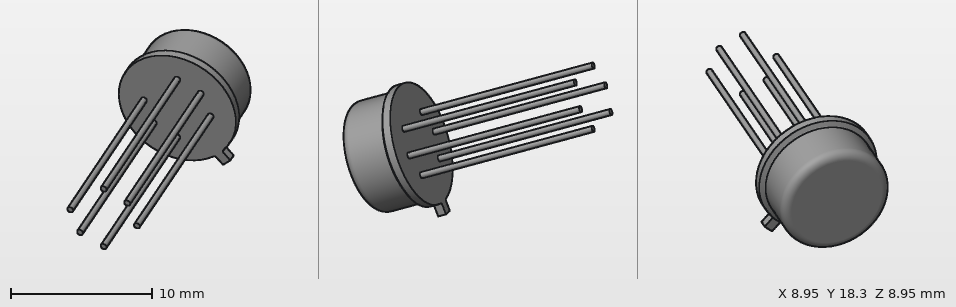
import cadquery as cq
import math

total_length = 18.29
can_height = 4.3
lead_length = total_length - can_height

flange_diameter = 8.95
flange_radius = flange_diameter / 2
flange_thickness = 0.64
cap_radius = 4.08
cap_edge_radius = 0.62
skirt_height = 0.18
skirt_fillet = 0.1

lead_diameter = 0.45
lead_circle_radius = 2.55
lead_angles = [0, 45, 90, 180, 225, 270]

tab_width = 0.79
tab_reach = 5.34
tab_angle = -45
tab_root_fillet = 0.15

lead_end_y = 0.0
seat_y = lead_end_y + lead_length
flange_top_y = seat_y + flange_thickness
skirt_top_y = flange_top_y + skirt_height
flange_middle_y = seat_y + flange_thickness / 2
can_top_y = seat_y + can_height


def make_flange():
    """Flange disc with an index tab blended into its rim."""
    disc = cq.Workplane("XZ", origin=(0, flange_top_y, 0)).circle(flange_radius).extrude(flange_thickness)
    tab = cq.Workplane("XY").box(
        tab_reach, flange_thickness, tab_width, centered=(False, False, True)
    )
    tab = tab.rotate((0, 0, 0), (0, -1, 0), tab_angle).translate((0, seat_y, 0))

    flange = disc.union(tab)

    root_half_angle = math.asin(tab_width / 2 / flange_radius)
    for side in (-1, 1):
        angle = math.radians(tab_angle) + side * root_half_angle
        root = (flange_radius * math.cos(angle), flange_middle_y, flange_radius * math.sin(angle))
        nearest_root = cq.selectors.NearestToPointSelector(root)
        flange = flange.edges("|Y").edges(nearest_root).fillet(tab_root_fillet)
    return flange


def make_cap():
    """Round-edged cap with a sloped skirt that meets the flange rim."""
    profile = (
        cq.Workplane("XY")
        .moveTo(0, flange_top_y)
        .lineTo(flange_radius, flange_top_y)
        .lineTo(cap_radius, skirt_top_y)
        .lineTo(cap_radius, can_top_y - cap_edge_radius)
        .radiusArc((cap_radius - cap_edge_radius, can_top_y), -cap_edge_radius)
        .lineTo(0, can_top_y)
        .close()
    )
    cap = profile.revolve(360, (0, 0, 0), (0, 1, 0))
    skirt_top = cq.selectors.NearestToPointSelector((0, skirt_top_y, 0))
    return cap.edges("%CIRCLE").edges(skirt_top).fillet(skirt_fillet)


def make_leads():
    """Round leads on one circle, running from the free ends into the flange."""
    centers = [
        (
            lead_circle_radius * math.cos(math.radians(angle)),
            lead_circle_radius * math.sin(math.radians(angle)),
        )
        for angle in lead_angles
    ]
    return (
        cq.Workplane("XZ", origin=(0, flange_top_y, 0))
        .pushPoints(centers)
        .circle(lead_diameter / 2)
        .extrude(flange_top_y - lead_end_y)
    )


result = make_flange().union(make_cap()).union(make_leads())